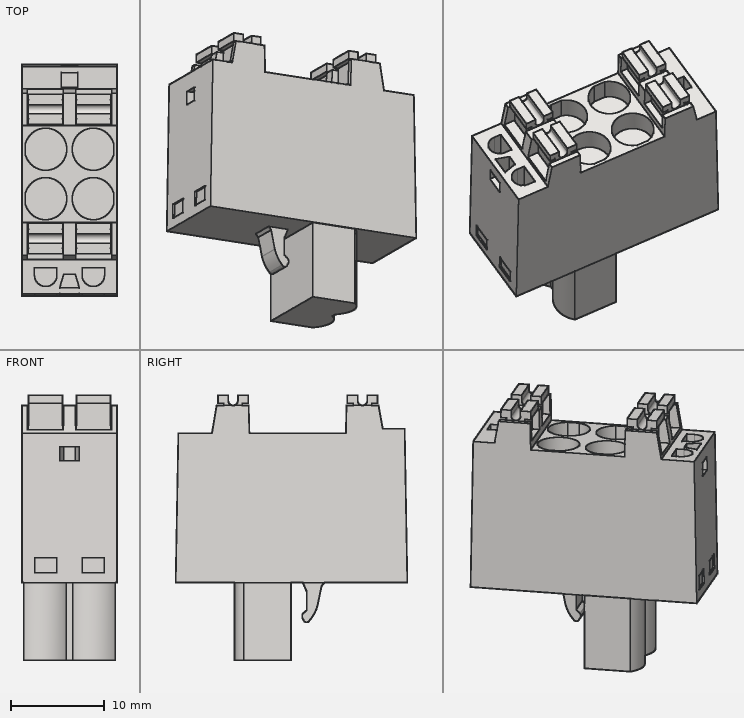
import cadquery as cq


width = 10.16
pitch = width / 2
pole_x = [-pitch / 2, pitch / 2]
foot_half_depth = 24.75 / 2
deck_half_depth = 12.09
deck_z = 15.96
rear_deck_z = 16.45

tower_top_z = 18.92
front_tower_outer_y = (-8.5, -8.0)
front_tower_inner_y = (-4.48, -4.56)
rear_tower_outer_y = (9.75, 9.3)
rear_tower_inner_y = (5.79, 5.86)
tower_middle_y = 0.67

pocket_width = 3.84
pocket_floor_height = 0.35

lever_width = 3.66
lever_spacing_x = 5.13
lever_x = [-lever_spacing_x / 2, lever_spacing_x / 2]
lever_spacing_y = 13.81
lever_y = [tower_middle_y - lever_spacing_y / 2, tower_middle_y + lever_spacing_y / 2]
head_depth = 3.25
head_bottom_z = tower_top_z + 0.21
lever_top_z = 28.33 - 8.3
neck_depth = 2.0
groove_radius = 0.5
pocket_floor_z = [deck_z + pocket_floor_height, rear_deck_z + pocket_floor_height]

entry_diameter = 4.5
entry_spacing_y = 5.28
entry_depth = 2.55
entry_flat_x = 4.7

test_radius = 1.2
test_back_y = -9.32
test_straight = 0.82
test_depth = 3.0

slot_floor_z = 13.02
window_height = 1.48
front_slot_y = (-11.49, -10.01)
front_slot_half_width = (1.05, 0.61)
rear_slot_y = (9.93, 11.49)
rear_slot_width = 1.72

recess_width = 2.32
recess_height = 1.58
recess_bottom_z = 1.08
recess_depth = 0.2

plug_length = 8.3
plug_half_width = 4.9
plug_back_y = -0.04
plug_front_y = -5.09
plug_bulge = 1.0
plug_gap = 0.68

latch_width = 3.0


def block(x_range, y_range, z_range):
    """Box between the given limits."""
    size = [r[1] - r[0] for r in (x_range, y_range, z_range)]
    corner = (x_range[0], y_range[0], z_range[0])
    return cq.Workplane("XY").box(*size, centered=False).translate(corner)


def extrude_along_x(profile, length):
    """Symmetric extrusion of a closed YZ profile about X = 0."""
    return profile.extrude(length / 2, both=True)


def housing_block():
    outline = [
        (-foot_half_depth, 0),
        (-deck_half_depth, deck_z),
        (front_tower_outer_y[0], deck_z),
        (front_tower_outer_y[1], tower_top_z),
        (front_tower_inner_y[1], tower_top_z),
        (front_tower_inner_y[0], deck_z),
        (rear_tower_inner_y[0], deck_z),
        (rear_tower_inner_y[1], tower_top_z),
        (rear_tower_outer_y[1], tower_top_z),
        (rear_tower_outer_y[0], rear_deck_z),
        (deck_half_depth, rear_deck_z),
        (foot_half_depth, 0),
    ]
    return extrude_along_x(cq.Workplane("YZ").polyline(outline).close(), width)


def lever_pocket(x, y, floor_z):
    """Cutter that clears a tower from side to side above the pocket floor."""
    half_width = pocket_width / 2
    x_range = (x - half_width, x + half_width)
    y_range = (y - head_depth, y + head_depth)
    return block(x_range, y_range, (floor_z, lever_top_z))


def wire_entries():
    """Round holes, each cut flat where it comes close to the side wall of the housing."""
    centers = [(x, tower_middle_y + side * entry_spacing_y / 2) for x in pole_x for side in (-1, 1)]
    top = cq.Workplane("XY").workplane(offset=deck_z)
    holes = top.pushPoints(centers).circle(entry_diameter / 2).extrude(-entry_depth)
    y_range = (front_tower_inner_y[0], rear_tower_inner_y[0])
    return holes.intersect(block((-entry_flat_x, entry_flat_x), y_range, (0, deck_z)))


def test_opening(x):
    """D-shaped hole, flat toward the tower and round toward the front wall."""
    arc_start_y = test_back_y - test_straight
    return (
        cq.Workplane("XY").workplane(offset=deck_z)
        .moveTo(x - test_radius, test_back_y)
        .lineTo(x + test_radius, test_back_y)
        .lineTo(x + test_radius, arc_start_y)
        .threePointArc((x, arc_start_y - test_radius), (x - test_radius, arc_start_y))
        .close()
        .extrude(-test_depth)
    )


def front_marker_slot():
    front_y, back_y = front_slot_y
    front_half, back_half = front_slot_half_width
    corners = [(-front_half, front_y), (front_half, front_y), (back_half, back_y), (-back_half, back_y)]
    shaft = cq.Workplane("XY").workplane(offset=slot_floor_z).polyline(corners).close()
    shaft = shaft.extrude(deck_z - slot_floor_z)
    window_z = (slot_floor_z, slot_floor_z + window_height)
    window = block((-front_half, front_half), (-foot_half_depth, front_y), window_z)
    return shaft.union(window)


def rear_marker_slot():
    x_range = (-rear_slot_width / 2, rear_slot_width / 2)
    shaft = block(x_range, rear_slot_y, (slot_floor_z, rear_deck_z))
    window_z = (slot_floor_z, slot_floor_z + window_height)
    window = block(x_range, (rear_slot_y[1], foot_half_depth), window_z)
    return shaft.union(window)


def end_wall_recess(x, end):
    """Recess with a floor parallel to the leaning end wall; end is -1 (front) or 1 (rear)."""
    top_z = recess_bottom_z + recess_height
    lean = (foot_half_depth - deck_half_depth) / deck_z
    wall_y = [foot_half_depth - lean * z for z in (recess_bottom_z, top_z)]
    profile = [
        (end * (wall_y[0] - recess_depth), recess_bottom_z),
        (end * foot_half_depth, recess_bottom_z),
        (end * foot_half_depth, top_z),
        (end * (wall_y[1] - recess_depth), top_z),
    ]
    return extrude_along_x(cq.Workplane("YZ").polyline(profile).close(), recess_width).translate((x, 0, 0))


def plug():
    """Plug block whose front face bulges once for each pole."""
    half_gap = plug_gap / 2
    bulge_middle_x = (plug_half_width + half_gap) / 2
    bulge_y = plug_front_y - plug_bulge
    return (
        cq.Workplane("XY")
        .moveTo(-plug_half_width, plug_back_y)
        .lineTo(-plug_half_width, plug_front_y)
        .threePointArc((-bulge_middle_x, bulge_y), (-half_gap, plug_front_y))
        .lineTo(half_gap, plug_front_y)
        .threePointArc((bulge_middle_x, bulge_y), (plug_half_width, plug_front_y))
        .lineTo(plug_half_width, plug_back_y)
        .close()
        .extrude(-plug_length)
    )


def latch():
    """Curved hook behind the plug with a rounded tip that points toward the plug."""
    profile = (
        cq.Workplane("YZ")
        .moveTo(3.53, 0)
        .lineTo(3.22, -0.35)
        .lineTo(2.80, -2.40)
        .threePointArc((2.45, -3.30), (1.92, -4.05))
        .threePointArc((1.58, -4.24), (1.26, -3.93))
        .threePointArc((1.12, -3.58), (1.22, -3.28))
        .lineTo(1.62, -2.93)
        .lineTo(1.62, -0.96)
        .lineTo(1.20, 0)
        .close()
    )
    return extrude_along_x(profile, latch_width)


def make_housing():
    body = housing_block().union(plug()).union(latch())
    body = body.cut(wire_entries()).cut(front_marker_slot()).cut(rear_marker_slot())
    for x in pole_x:
        body = body.cut(test_opening(x))
        for end in (-1, 1):
            body = body.cut(end_wall_recess(x, end))
    for x in lever_x:
        for y, floor_z in zip(lever_y, pocket_floor_z):
            body = body.cut(lever_pocket(x, y, floor_z))
    return body


def make_lever(x, y, floor_z):
    """T-shaped lever standing on the pocket floor, with a round-bottomed groove along its head."""
    half_neck = neck_depth / 2
    half_head = head_depth / 2
    groove_center_z = tower_top_z + groove_radius
    profile = (
        cq.Workplane("YZ")
        .moveTo(-half_neck, floor_z)
        .lineTo(-half_neck, head_bottom_z)
        .lineTo(-half_head, head_bottom_z)
        .lineTo(-half_head, lever_top_z)
        .lineTo(-groove_radius, lever_top_z)
        .lineTo(-groove_radius, groove_center_z)
        .threePointArc((0, tower_top_z), (groove_radius, groove_center_z))
        .lineTo(groove_radius, lever_top_z)
        .lineTo(half_head, lever_top_z)
        .lineTo(half_head, head_bottom_z)
        .lineTo(half_neck, head_bottom_z)
        .lineTo(half_neck, floor_z)
        .close()
    )
    return extrude_along_x(profile, lever_width).translate((x, y, 0))


housing = make_housing()
levers = [
    make_lever(x, y, floor_z)
    for x in lever_x
    for y, floor_z in zip(lever_y, pocket_floor_z)
]

result = cq.Compound.makeCompound([housing.val(), *[lever.val() for lever in levers]])